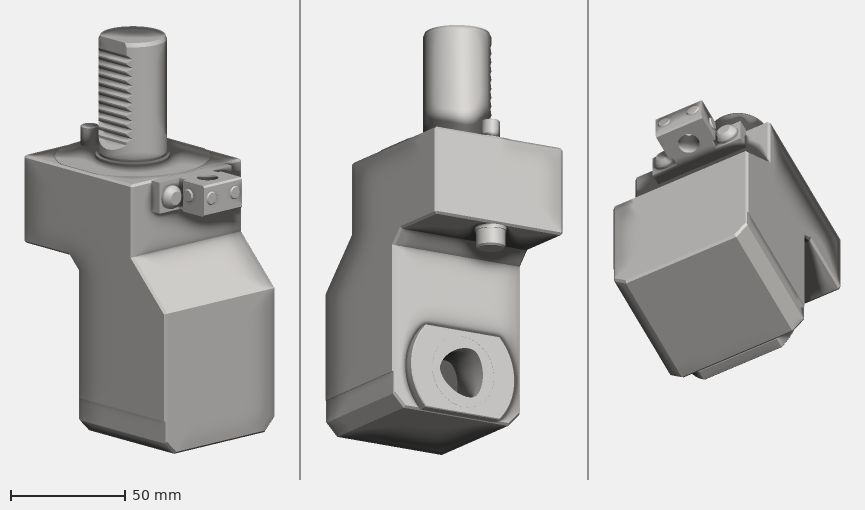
import cadquery as cq
import math

EPS = 0.01

BODY_WIDTH = 66.0
HEAD_LEFT = -35.0
HEAD_RIGHT = 35.0
HEAD_BOTTOM = -40.0
LEG_LEFT = 0.0
LEG_RIGHT = 56.5
BODY_BOTTOM = -119.0
INNER_BEVEL = 6.0
SHOULDER_TOP = -33.0
BOTTOM_CORNER = 6.0
EDGE_CHAMFER = 1.0
STEP_HEIGHT = 0.3
SEAT_DIAMETER = 68.0
HEAD_TOP = -STEP_HEIGHT
INNER_BEND_Z = HEAD_BOTTOM - INNER_BEVEL
SHOULDER_BOTTOM = SHOULDER_TOP - (LEG_RIGHT - HEAD_RIGHT)
SIDE_RELIEF_TOP = -103.3
SIDE_RELIEF_DEPTH = 0.4

SHANK_DIAMETER = 30.0
SHANK_LENGTH = 55.0
SHANK_CHAMFER_LENGTH = 1.8
SHANK_CHAMFER_DEPTH = 0.8
COLLAR_DIAMETER = 32.5
COLLAR_HEIGHT = 1.2
NECK_DIAMETER = 29.0
NECK_TOP = 2.3

FLAT_DISTANCE = 12.0
TOOTH_DEPTH = 1.7
TOOTH_PITCH = 4.0
TOOTH_COUNT = 10
TOOTH_DATUM = 29.7
FLAT_BOTTOM = 8.8

PIN_X = -27.6
PIN_DIAMETER = 8.0
PIN_HEIGHT = 8.7
PIN_CHAMFER = 0.5
SCREW_DIAMETER = 13.0
SCREW_FLANGE_DIAMETER = 14.0
SCREW_FLANGE_HEIGHT = 1.5
SCREW_HEIGHT = 9.3
SCREW_CHAMFER = 0.8

NOSE_Z = -100.0
NOSE_DIAMETER = 53.5
NOSE_LENGTH = 5.0
NOSE_HALF_HEIGHT = 18.8
NOSE_CHAMFER = 0.4
RING_DIAMETER = 32.0
RING_GROOVE = 0.1
SOCKET_RADIUS = 11.1
SOCKET_LOBE = 0.9
SOCKET_DEPTH = 20.0
SOCKET_TAPER = 1.0 / 40.0
SOCKET_POINTS = 36

BLOCK_TOP = -0.3
BLOCK_HEIGHT = 14.0
PLATE_RIGHT = 40.3
PLATE_WIDTH = 43.0
BLOCK_NECK_RIGHT = 44.5
BLOCK_NECK_WIDTH = 19.0
BLOCK_RIGHT = 58.0
BLOCK_WIDTH = 22.6
BLOCK_CHAMFER = 0.8
COOLANT_X = 48.0
COOLANT_DIAMETER = 9.5
PLUG_Z = -6.4
PLUG_DIAMETER = 6.0
PLUG_CHAMFER = 0.5
SIDE_PLUG_HEIGHT = 0.8
END_PLUG_RIGHT = 58.5
END_PLUG_Y = 7.0
BUTTON_Y = 15.0
BUTTON_Z = -7.8
BUTTON_DIAMETER = 10.5
BUTTON_RIM = 1.2
BUTTON_TOP_DIAMETER = 6.0
BUTTON_HEIGHT = 3.7
BUTTON_BULGE = 0.6


def cylinder_z(diameter, bottom, top, x=0.0):
    """Cylinder parallel to Z between two levels."""
    return cq.Workplane("XY", origin=(x, 0, bottom)).circle(diameter / 2).extrude(top - bottom)


def cone_frustum_x(base_diameter, tip_diameter, x, y, z, height):
    """Frustum growing along +X from its base centre."""
    frustum = cq.Solid.makeCone(
        base_diameter / 2, tip_diameter / 2, height, cq.Vector(x, y, z), cq.Vector(1, 0, 0)
    )
    return cq.Workplane(frustum)


def block_between(x_min, x_max, width, top, height):
    """Box centred on y = 0 and hanging down from its top level."""
    return cq.Workplane("XY", origin=(0, 0, top - height)).box(
        x_max - x_min, width, height, centered=(False, True, False)
    ).translate((x_min, 0, 0))


def is_sharp_body_edge(edge):
    """Tell whether a body edge stays unbroken: bevel and shoulder bends, and the bottom corner bends."""
    box = edge.BoundingBox()
    center = edge.Center()
    if box.ylen > BODY_WIDTH / 2:
        head_bends = HEAD_LEFT + EPS < center.x < LEG_LEFT - EPS or abs(center.z - INNER_BEND_Z) < EPS
        shoulder_bends = abs(center.z - SHOULDER_TOP) < EPS or abs(center.z - SHOULDER_BOTTOM) < EPS
        return head_bends or shoulder_bends
    along_leg = abs(box.xlen - (LEG_RIGHT - LEG_LEFT)) < EPS
    return along_leg and center.z < SIDE_RELIEF_TOP


def make_body():
    outline = [
        (HEAD_LEFT, HEAD_TOP),
        (HEAD_RIGHT, HEAD_TOP),
        (HEAD_RIGHT, SHOULDER_TOP),
        (LEG_RIGHT, SHOULDER_BOTTOM),
        (LEG_RIGHT, BODY_BOTTOM),
        (LEG_LEFT, BODY_BOTTOM),
        (LEG_LEFT, INNER_BEND_Z),
        (LEG_LEFT - INNER_BEVEL, HEAD_BOTTOM),
        (HEAD_LEFT, HEAD_BOTTOM),
    ]
    body = cq.Workplane("XZ").polyline(outline).close().extrude(BODY_WIDTH / 2, both=True)
    body = body.faces("<Z").edges("|X").chamfer(BOTTOM_CORNER)
    broken_edges = [edge for edge in body.edges().vals() if not is_sharp_body_edge(edge)]
    body = body.newObject(broken_edges).chamfer(EDGE_CHAMFER)

    seat_trim = block_between(HEAD_LEFT, HEAD_RIGHT, BODY_WIDTH - 2 * EDGE_CHAMFER, 0, STEP_HEIGHT)
    seat = cylinder_z(SEAT_DIAMETER, HEAD_TOP, 0).intersect(seat_trim)
    body = body.union(seat)

    relief_height = SIDE_RELIEF_TOP - BODY_BOTTOM
    relief_outer = block_between(LEG_LEFT, LEG_RIGHT, BODY_WIDTH, SIDE_RELIEF_TOP, relief_height)
    relief_inner = block_between(
        LEG_LEFT, LEG_RIGHT, BODY_WIDTH - 2 * SIDE_RELIEF_DEPTH, SIDE_RELIEF_TOP, relief_height
    )
    return body.cut(relief_outer.cut(relief_inner))


def make_shank():
    radius = SHANK_DIAMETER / 2
    profile = [
        (0, HEAD_TOP),
        (COLLAR_DIAMETER / 2, HEAD_TOP),
        (COLLAR_DIAMETER / 2, COLLAR_HEIGHT),
        (NECK_DIAMETER / 2, COLLAR_HEIGHT),
        (NECK_DIAMETER / 2, NECK_TOP),
        (radius, NECK_TOP),
        (radius, SHANK_LENGTH - SHANK_CHAMFER_LENGTH),
        (radius - SHANK_CHAMFER_DEPTH, SHANK_LENGTH),
        (0, SHANK_LENGTH),
    ]
    shank = cq.Workplane("XZ").polyline(profile).close().revolve(360, (0, 0, 0), (0, 1, 0))
    return shank.cut(make_serration())


def make_serration():
    """Material removed from the shank: a flat with 45 degree run-out and V-shaped tooth gaps."""
    outer = SHANK_DIAMETER
    cut_profile = [
        (-FLAT_DISTANCE, SHANK_LENGTH),
        (-FLAT_DISTANCE, FLAT_BOTTOM),
        (-outer, FLAT_BOTTOM - (outer - FLAT_DISTANCE)),
        (-outer, SHANK_LENGTH),
    ]
    cutter = cq.Workplane("YZ").polyline(cut_profile).close().extrude(SHANK_DIAMETER, both=True)
    first_root = TOOTH_DATUM - TOOTH_PITCH * (TOOTH_COUNT - 1) / 2
    for index in range(TOOTH_COUNT):
        root = first_root + index * TOOTH_PITCH
        gap_profile = [
            (-FLAT_DISTANCE, root - TOOTH_DEPTH),
            (TOOTH_DEPTH - FLAT_DISTANCE, root),
            (-FLAT_DISTANCE, root + TOOTH_DEPTH),
        ]
        gap = cq.Workplane("YZ").polyline(gap_profile).close().extrude(SHANK_DIAMETER, both=True)
        cutter = cutter.union(gap)
    return cutter


def make_pin_and_screw():
    pin = cylinder_z(PIN_DIAMETER, HEAD_TOP - EDGE_CHAMFER, PIN_HEIGHT, PIN_X)
    pin = pin.faces(">Z").chamfer(PIN_CHAMFER)
    screw_bottom = HEAD_BOTTOM - SCREW_HEIGHT
    screw = cylinder_z(SCREW_DIAMETER, screw_bottom, HEAD_BOTTOM, PIN_X)
    screw = screw.faces("<Z").chamfer(SCREW_CHAMFER)
    flange = cylinder_z(SCREW_FLANGE_DIAMETER, HEAD_BOTTOM - SCREW_FLANGE_HEIGHT, HEAD_BOTTOM, PIN_X)
    return pin.union(screw).union(flange)


def add_tool_seat(body):
    nose_left = LEG_LEFT - NOSE_LENGTH
    seat_plane = cq.Plane(origin=(nose_left, 0, NOSE_Z), xDir=(0, 1, 0), normal=(1, 0, 0))
    nose = cq.Workplane(seat_plane).circle(NOSE_DIAMETER / 2).extrude(NOSE_LENGTH)
    nose_trim = cq.Workplane(seat_plane).rect(NOSE_DIAMETER, 2 * NOSE_HALF_HEIGHT).extrude(NOSE_LENGTH)
    nose = nose.intersect(nose_trim).faces("<X").edges().chamfer(NOSE_CHAMFER)
    ring_radius = RING_DIAMETER / 2
    joint = cq.Workplane(seat_plane).circle(ring_radius).circle(ring_radius - RING_GROOVE).extrude(RING_GROOVE)
    return body.union(nose).cut(joint).cut(make_socket(nose_left))


def socket_outline(x, radius):
    """Closed three-lobed curve of constant width with one lobe pointing along +Y."""
    points = []
    for index in range(SOCKET_POINTS):
        angle = 2 * math.pi * index / SOCKET_POINTS
        reach = radius + SOCKET_LOBE * math.cos(3 * angle)
        slope = -3 * SOCKET_LOBE * math.sin(3 * angle)
        y = reach * math.cos(angle) - slope * math.sin(angle)
        z = reach * math.sin(angle) + slope * math.cos(angle)
        points.append(cq.Vector(x, y, NOSE_Z + z))
    return cq.Wire.assembleEdges([cq.Edge.makeSpline(points, periodic=True)])


def make_socket(mouth_x):
    mouth = socket_outline(mouth_x, SOCKET_RADIUS)
    floor_radius = SOCKET_RADIUS - SOCKET_DEPTH * SOCKET_TAPER
    floor = socket_outline(mouth_x + SOCKET_DEPTH, floor_radius)
    return cq.Workplane(cq.Solid.makeLoft([mouth, floor]))


def make_coolant_block():
    plate = block_between(HEAD_RIGHT, PLATE_RIGHT, PLATE_WIDTH, BLOCK_TOP, BLOCK_HEIGHT)
    neck = block_between(HEAD_RIGHT, BLOCK_NECK_RIGHT, BLOCK_NECK_WIDTH, BLOCK_TOP, BLOCK_HEIGHT)
    outlet = block_between(BLOCK_NECK_RIGHT, BLOCK_RIGHT, BLOCK_WIDTH, BLOCK_TOP, BLOCK_HEIGHT)
    outlet = outlet.faces(">X").edges("|Y").chamfer(BLOCK_CHAMFER)
    block = plate.union(neck).union(outlet)

    coolant_hole = cylinder_z(COOLANT_DIAMETER, BLOCK_TOP - BLOCK_HEIGHT, BLOCK_TOP, COOLANT_X)
    side_plugs = (
        cq.Workplane("XZ", origin=(COOLANT_X, 0, PLUG_Z))
        .circle(PLUG_DIAMETER / 2)
        .extrude(BLOCK_WIDTH / 2 + SIDE_PLUG_HEIGHT, both=True)
        .faces("<Y or >Y")
        .chamfer(PLUG_CHAMFER)
    )
    block = block.union(side_plugs)
    block = block.cut(coolant_hole)

    end_plug_height = END_PLUG_RIGHT - BLOCK_RIGHT
    for side in (-1, 1):
        plug = cone_frustum_x(
            PLUG_DIAMETER, PLUG_DIAMETER - 2 * PLUG_CHAMFER,
            BLOCK_RIGHT, side * END_PLUG_Y, PLUG_Z, end_plug_height,
        )
        block = block.union(plug).union(make_button_head(side * BUTTON_Y))
    return block


def make_button_head(y):
    """Domed screw head on the plate."""
    profile_plane = cq.Plane(origin=(PLATE_RIGHT, y, BUTTON_Z), xDir=(1, 0, 0), normal=(0, 0, 1))
    rim_radius = BUTTON_DIAMETER / 2
    top_radius = BUTTON_TOP_DIAMETER / 2
    middle = (
        BUTTON_RIM + (BUTTON_HEIGHT - BUTTON_RIM) * BUTTON_BULGE,
        top_radius + (rim_radius - top_radius) * BUTTON_BULGE,
    )
    return (
        cq.Workplane(profile_plane)
        .lineTo(0, rim_radius)
        .lineTo(BUTTON_RIM, rim_radius)
        .threePointArc(middle, (BUTTON_HEIGHT, top_radius))
        .lineTo(BUTTON_HEIGHT, 0)
        .close()
        .revolve(360, (0, 0, 0), (1, 0, 0))
    )


body = add_tool_seat(make_body())
result = body.union(make_shank()).union(make_pin_and_screw()).union(make_coolant_block())